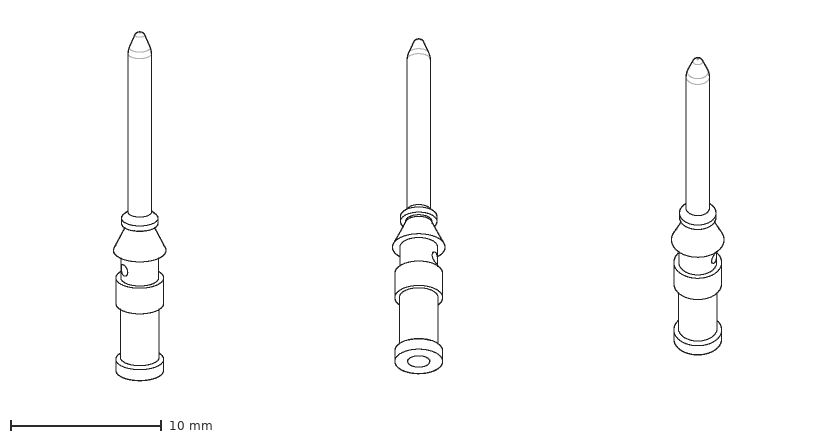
import cadquery as cq
import math

rim_dia = 3.19
barrel_dia = 2.6
collar_dia = 3.19
neck_dia = 2.51
cone_base_dia = 3.5
cone_top_dia = 1.77
flange_dia = 2.45
pin_dia = 1.57
tip_flat_dia = 0.115

rim_top = 0.82
rim_bevel_top = 0.97
collar_bottom = 4.93
collar_top = 6.82
cone_bottom = 8.85
cone_top = 10.7
flange_bottom = 10.83
flange_edge_top = 11.23
flange_bevel_top = 11.68
pin_straight_top = 23.35
total_height = 24.9

taper_angle = math.radians(22)
shoulder_radius = 1.17
nose_radius = 0.3

bore_dia = 1.47
bore_depth = 8.47
sight_hole_dia = 0.8
sight_hole_height = 7.7


def arc_point(center, radius, angle):
    """Point on an arc in the radius-height plane, angle measured up from horizontal."""
    return (
        center[0] + radius * math.cos(angle),
        center[1] + radius * math.sin(angle),
    )


def make_body():
    """Revolve the stepped outline, given as (radius, height), around Z."""
    shoulder_center = (pin_dia / 2 - shoulder_radius, pin_straight_top)
    nose_center = (tip_flat_dia / 2, total_height - nose_radius)
    nose_mid_angle = (taper_angle + math.pi / 2) / 2

    outline = (
        cq.Workplane("XZ")
        .moveTo(0, 0)
        .lineTo(rim_dia / 2, 0)
        .lineTo(rim_dia / 2, rim_top)
        .lineTo(barrel_dia / 2, rim_bevel_top)
        .lineTo(barrel_dia / 2, collar_bottom)
        .lineTo(collar_dia / 2, collar_bottom)
        .lineTo(collar_dia / 2, collar_top)
        .lineTo(neck_dia / 2, collar_top)
        .lineTo(neck_dia / 2, cone_bottom)
        .lineTo(cone_base_dia / 2, cone_bottom)
        .lineTo(cone_top_dia / 2, cone_top)
        .lineTo(cone_top_dia / 2, flange_bottom)
        .lineTo(flange_dia / 2, flange_bottom)
        .lineTo(flange_dia / 2, flange_edge_top)
        .lineTo(pin_dia / 2, flange_bevel_top)
        .lineTo(pin_dia / 2, pin_straight_top)
        .threePointArc(
            arc_point(shoulder_center, shoulder_radius, taper_angle / 2),
            arc_point(shoulder_center, shoulder_radius, taper_angle),
        )
        .lineTo(*arc_point(nose_center, nose_radius, taper_angle))
        .threePointArc(
            arc_point(nose_center, nose_radius, nose_mid_angle),
            (tip_flat_dia / 2, total_height),
        )
        .lineTo(0, total_height)
        .close()
    )
    return outline.revolve(360, (0, 0, 0), (0, 1, 0))


def make_bore():
    """Blind round bore that opens at the bottom face."""
    return cq.Workplane("XY").circle(bore_dia / 2).extrude(bore_depth)


def make_sight_hole():
    """Radial hole through the -Y wall only, ending at the part axis."""
    return (
        cq.Workplane("XZ")
        .center(0, sight_hole_height)
        .circle(sight_hole_dia / 2)
        .extrude(neck_dia)
    )


result = make_body().cut(make_bore()).cut(make_sight_hole())